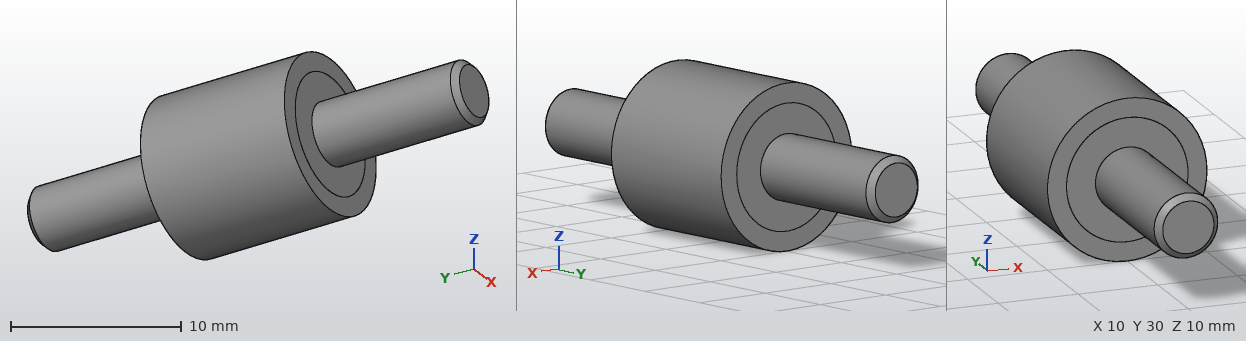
import cadquery as cq

total_length = 30.0
buffer_length = total_length / 3
buffer_diameter = buffer_length
stud_diameter = 4.0
stud_chamfer = 0.4
flange_diameter = 7.62
flange_thickness = 1.5

stud_length = (total_length - buffer_length) / 2


def cylinder_along_y(diameter, start_y, length):
    """Cylinder on the Y axis, running from start_y toward +Y."""
    plane = cq.Plane(origin=(0, start_y, 0), xDir=(1, 0, 0), normal=(0, 1, 0))
    return cq.Workplane(plane).circle(diameter / 2).extrude(length)


def make_flange():
    """Disc at the +Y end, flush with the end face of the buffer."""
    return cylinder_along_y(
        flange_diameter, buffer_length / 2 - flange_thickness, flange_thickness
    )


def make_buffer():
    """Rubber cylinder with a recess in each end for a stud flange."""
    body = cylinder_along_y(buffer_diameter, -buffer_length / 2, buffer_length)
    recess = make_flange()
    return body.cut(recess).cut(recess.mirror("XZ"))


def make_stud():
    """Stud at the +Y end: round shank with a chamfered tip, on its flange."""
    shank = cylinder_along_y(stud_diameter, buffer_length / 2, stud_length)
    shank = shank.faces(">Y").chamfer(stud_chamfer)
    return make_flange().union(shank)


rubber_buffer = make_buffer()

studs = []
for turn in (0, 180):
    stud = make_stud().rotate((0, 0, 0), (0, 0, 1), turn)
    studs.append(stud.val())

result = cq.Compound.makeCompound([rubber_buffer.val(), *studs])